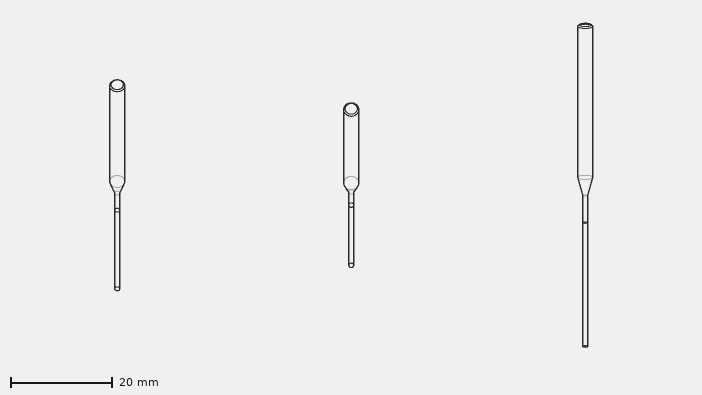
import cadquery as cq
import math

shank_diameter = 3.0
drill_diameter = 1.0
point_angle = 140.0
taper_half_angle = 15.0
end_chamfer = 0.3

overall_length = 66.18
cutting_length = 25.6
shank_length = 31.3

shank_radius = shank_diameter / 2
drill_radius = drill_diameter / 2
point_height = drill_radius / math.tan(math.radians(point_angle / 2))
taper_height = (shank_radius - drill_radius) / math.tan(math.radians(taper_half_angle))
shank_start = overall_length - shank_length
taper_start = shank_start - taper_height


def revolve_profile(points):
    """Turn a closed (radius, z) outline around the Z axis."""
    return cq.Workplane("XZ").polyline(points).close().revolve(360, (0, 0, 0), (0, 1, 0))


def make_cutting_body():
    """Cylindrical drill with a conical point."""
    return revolve_profile([
        (0, 0),
        (drill_radius, point_height),
        (drill_radius, cutting_length),
        (0, cutting_length),
    ])


def make_shank_body():
    """Neck, taper and chamfered shank, standing on top of the cutting body."""
    return revolve_profile([
        (0, cutting_length),
        (drill_radius, cutting_length),
        (drill_radius, taper_start),
        (shank_radius, shank_start),
        (shank_radius, overall_length - end_chamfer),
        (shank_radius - end_chamfer, overall_length),
        (0, overall_length),
    ])


cutting_body = make_cutting_body()
shank_body = make_shank_body()
result = cq.Compound.makeCompound([cutting_body.val(), shank_body.val()])